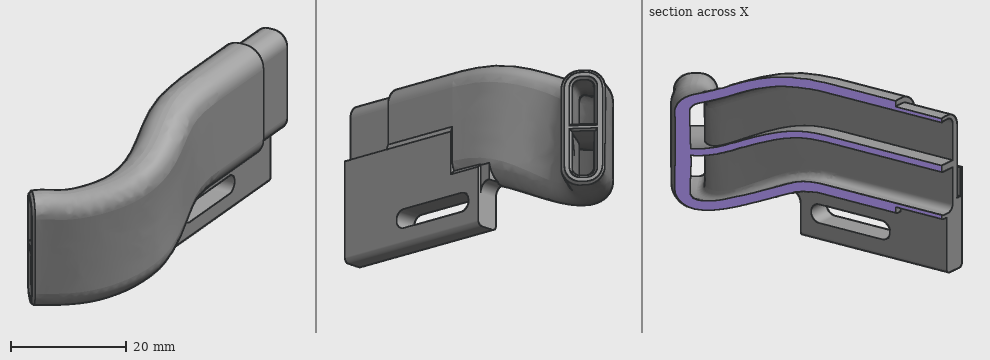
import cadquery as cq

duct_x = 4.7
duct_top = 30.4
duct_height = 21.0
duct_width = 8.6
end_flat = 1.05
sleeve_start = -9.85
sleeve_end = -25.0
spigot_step = 1.05
duct_z = duct_top - duct_height / 2

nozzle_width = 7.7
nozzle_height = 20.9
bore_width = 3.85
bore_end_wall = 1.75
divider = 1.3
rim_chamfer = 0.5
divider_chamfer = 0.4

bend_path = [
    (duct_x, sleeve_end, duct_z),
    (4.95, -33.6, 18.7),
    (6.65, -43.4, 14.7),
    (5.35, -51.2, 11.5),
    (0.3, -57.55, 9.8),
    (-6.85, -62.5, 9.5),
]
start_heading = (0, -1, 0)
outlet_heading = (-0.794, -0.608, 0)
station_count = 11

plate_thickness = 4.55
plate_length = 31.45
plate_top = 18.45
shelf_top = 10.6
ramp_rise = 1.3
sleeve_ramp = 1.0
bottom_fillet = 0.9
lip_thickness = 0.5
slot_length = 16.95
slot_width = 3.45
slot_y = -20.7
slot_z = 5.0

web_reach = 1.95
web_bottom = 6.1
web_top = 11.1
web_side = 0.65


def rounded_section(width, height):
    """Upright section with rounded corners and short flat crests."""
    radius = (width - end_flat) / 2
    return cq.Sketch().rect(width, height).vertices().fillet(radius)


def straight_duct(width, height, start, end):
    plane = section_plane((duct_x, start, duct_z), cq.Vector(*start_heading))
    return cq.Workplane(plane).placeSketch(rounded_section(width, height)).extrude(start - end)


def section_plane(origin, heading):
    """Plane across the duct with its local Y axis as upright as possible."""
    sideways = cq.Vector(0, 0, 1).cross(heading)
    return cq.Plane(origin, sideways, heading)


path = cq.Edge.makeSpline(
    [cq.Vector(*point) for point in bend_path],
    tangents=[cq.Vector(*start_heading), cq.Vector(*outlet_heading)],
)


def bend_loft(outline_at):
    """Loft along the centreline; outline_at gives the flat section at each fraction."""
    wires = []
    for index in range(station_count):
        fraction = index / (station_count - 1)
        plane = section_plane(path.positionAt(fraction), path.tangentAt(fraction))
        outline = outline_at(fraction)._faces.Faces()[0].outerWire()
        wires.append(outline.moved(cq.Location(plane)))
    return cq.Workplane(cq.Solid.makeLoft(wires))


def bent_duct(start_size, end_size):
    """Curved duct changing evenly between two rounded section sizes."""
    def outline_at(fraction):
        width, height = [a + (b - a) * fraction for a, b in zip(start_size, end_size)]
        return rounded_section(width, height)
    return bend_loft(outline_at)


def side_profile(x):
    """Workplane at the given X, looking along X, drawn in Y and Z."""
    return cq.Workplane("YZ", origin=(x, 0, 0))


def mounting_plate():
    return (
        side_profile(0)
        .polyline([(0, 0), (0, plate_top), (sleeve_end, plate_top), (sleeve_end, shelf_top),
                   (-plate_length, shelf_top), (-plate_length, 0)])
        .close()
        .extrude(plate_thickness)
        .edges("|Y and <Z")
        .fillet(bottom_fillet)
    )


def ramp(start, end, base, run, rise):
    """Block on the plate whose outer face slopes from X = 0 up to the duct."""
    return (
        cq.Workplane("XZ", origin=(0, start, 0))
        .polyline([(0, base), (run, base + rise), (plate_thickness, base + rise), (plate_thickness, base)])
        .close()
        .extrude(start - end)
    )


def front_web():
    tip = -plate_length - web_reach
    root = -plate_length
    arc_top = web_bottom + web_reach
    bulge = web_reach * (1 - 0.5 ** 0.5)
    return (
        side_profile(web_side)
        .moveTo(root, web_bottom)
        .threePointArc((root - bulge, arc_top - bulge), (tip, arc_top))
        .lineTo(tip, web_top)
        .lineTo(root, web_top)
        .close()
        .extrude(plate_thickness - web_side)
    )


def divider_wall():
    """Level wall across the middle of the bore, along the whole duct."""
    size = (bore_width + bore_end_wall, divider)
    section = cq.Sketch().rect(*size)
    start_plane = section_plane((duct_x, 0, duct_z), cq.Vector(*start_heading))
    straight = cq.Workplane(start_plane).placeSketch(section).extrude(-sleeve_end)
    return straight.union(bend_loft(lambda fraction: section))


def bore():
    start = (bore_width, duct_height - 2 * bore_end_wall)
    end = (bore_width, nozzle_height - 2 * bore_end_wall)
    passage = straight_duct(*start, 0, sleeve_end).union(bent_duct(start, end))
    return passage.cut(divider_wall())


def mouth_flare():
    """Bevels at the outlet around the two openings."""
    height = nozzle_height - 2 * bore_end_wall
    mouth = cq.Workplane(section_plane(bend_path[-1], cq.Vector(*outlet_heading)))
    flare = mouth.placeSketch(
        rounded_section(bore_width + 2 * rim_chamfer, height + 2 * rim_chamfer),
        rounded_section(bore_width, height).moved(cq.Location(cq.Vector(0, 0, -rim_chamfer))),
    ).loft()
    half = divider / 2
    ridge = (
        cq.Workplane(cq.Plane(bend_path[-1], outlet_heading, mouth.plane.xDir))
        .polyline([(-rim_chamfer, half), (-divider_chamfer, half), (0, half - divider_chamfer),
                   (0, divider_chamfer - half), (-divider_chamfer, -half), (-rim_chamfer, -half)])
        .close()
        .extrude(bore_width, both=True)
    )
    return flare.cut(ridge)


spigot = straight_duct(duct_width - 2 * spigot_step, duct_height - 2 * spigot_step, 0, sleeve_start)
sleeve = straight_duct(duct_width, duct_height, sleeve_start, sleeve_end)
bend = bent_duct((duct_width, duct_height), (nozzle_width, nozzle_height))
bend = bend.faces(cq.selectors.NearestToPointSelector(bend_path[-1])).chamfer(rim_chamfer)

gap_bottom = duct_z - duct_height / 2 + (duct_width - end_flat) / 2
spigot_side = duct_x - duct_width / 2 + spigot_step
gap = cq.Workplane().box(
    spigot_side - lip_thickness, -sleeve_start, plate_top - gap_bottom, centered=False
).translate((lip_thickness, sleeve_start, gap_bottom))

slot = side_profile(0).center(slot_y, slot_z).slot2D(slot_length, slot_width).extrude(plate_thickness)

result = (
    spigot.union(sleeve)
    .union(bend)
    .union(mounting_plate())
    .union(ramp(sleeve_start, sleeve_end, plate_top, duct_x - duct_width / 2, sleeve_ramp))
    .union(ramp(sleeve_end, -plate_length, shelf_top, ramp_rise, ramp_rise))
    .union(front_web())
    .cut(gap)
    .cut(slot)
    .cut(bore())
    .cut(mouth_flare())
)